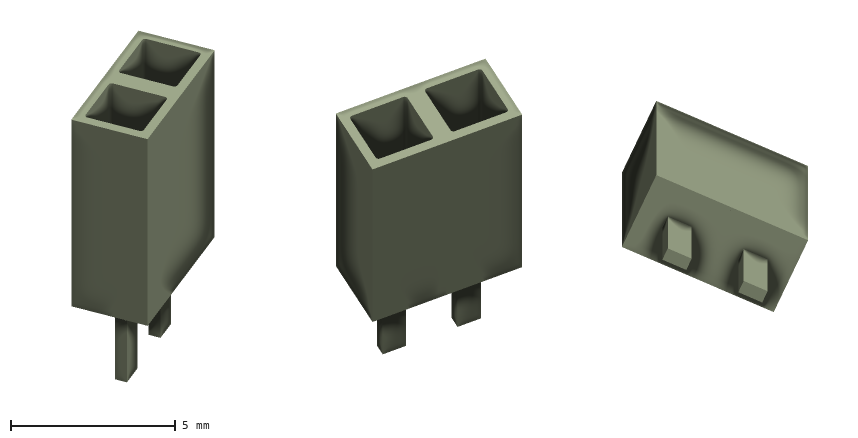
import cadquery as cq

pitch = 2.54
contact_count = 2
housing_height = 7.0
wall = 0.3
cavity_depth = 6.0
cavity_corner_radius = 0.1
pin_width = 0.4
pin_breadth = 0.8
pin_length = 3.0

cavity_side = pitch - 2 * wall


def make_housing(y):
    """Square block standing on Z = 0 with a round-cornered cavity open at the top."""
    block = cq.Workplane("XY").center(0, y).rect(pitch, pitch).extrude(housing_height)
    cavity = (
        cq.Workplane("XY", origin=(0, y, housing_height - cavity_depth))
        .rect(cavity_side, cavity_side)
        .extrude(cavity_depth)
        .edges("|Z")
        .fillet(cavity_corner_radius)
    )
    return block.cut(cavity).val()


def make_pin(y):
    """Flat pin hanging from the underside of its housing."""
    return cq.Workplane("XY").center(0, y).rect(pin_width, pin_breadth).extrude(-pin_length).val()


contact_places = [(i - (contact_count - 1) / 2) * pitch for i in range(contact_count)]
housings = [make_housing(y) for y in contact_places]
pins = [make_pin(y) for y in contact_places]

result = cq.Compound.makeCompound([*housings, *pins])